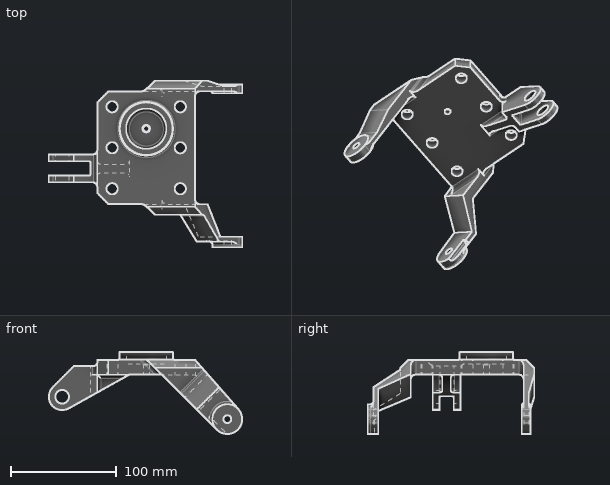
import cadquery as cq
import math


PLATE_HALF_X = 46.2
PLATE_HALF_Y = 53.2
PLATE_THICK = 14.0
PLATE_CORNER = 10.4
BOLT_DIA = 10.4
BOLT_X = 32.2
BOLT_Y = 38.7
PLATE_FILLET = 4.57

CUP_Y = 18.0
CUP_DIA = 50.8
CUP_HEIGHT = 7.62
CUP_EDGE = 0.6
CUP_BASE_FILLET = 1.7
CUP_BORE_DIA = 38.1
CUP_BORE_DEPTH = 11.43
CUP_BORE_FILLET = 3.0
DRAIN_DIA = 5.61
DRAIN_MOUTH_DIA = 7.2

ARM_THICK = 10.2
ARM_BEVEL = 7.6
ARM_END_X = 76.6
ARM_END_Z = -55.97
ARM_END_RADIUS = 14.1
ARM_HOLE_DIA = 7.2
ARM_SLOPE = math.radians(45)
LUG_THICK = 4.8
FRONT_LUG_Y = -83.9
FRONT_END_Y = -94.02
REAR_PAD = 1.85
REAR_PAD_FILLET = 1.7
FRONT_PAD_FILLET = 3.05
FRONT_BEND_FILLET = 2.54

REAR_TAPER_START = 50.1
REAR_TAPER_END = 74.7
FRONT_OUTER_BEND = (45.0, 66.9)
FRONT_INNER_BEND = (50.5, 68.8)

RELIEF_BEFORE_HOLE = 14.4
RELIEF_BELOW_HOLE = 10.0
RELIEF_DEPTH = 4.0
RELIEF_FILLET = 1.5

CLEVIS_Y = -19.5
CLEVIS_WIDTH = 26.4
CLEVIS_GAP = 13.2
CLEVIS_TOP_Z = -5.7
EAR_X = -79.34
EAR_Z = -34.8
EAR_RADIUS = 12.7
EAR_HOLE_DIA = 12.7
SLOT_END_X = -52.8
SLOT_FILLET = 1.0
FLARE_TOP = 3.7
FLARE_SIDE = 4.6
WEB_END_X = -16.0
WEB_WIDTH = 8.0
WEB_FILLET = 3.2

ARM_OUTER_Y = PLATE_HALF_Y + ARM_THICK
ARM_LOW_X = ARM_END_X + ARM_END_Z - 2 * ARM_END_RADIUS * math.sin(ARM_SLOPE)
ARM_REACH = 150.0
WIDE = 300.0


def tangent_point(px, pz, cx, cz, radius, side):
    """Point where a line from (px, pz) touches a circle; side is +1 or -1."""
    dist = math.hypot(px - cx, pz - cz)
    angle = math.atan2(pz - cz, px - cx) + side * math.acos(radius / dist)
    return cx + radius * math.cos(angle), cz + radius * math.sin(angle)


def concave_arc(outline, start, end, centre):
    """Add a quarter arc from start to end around centre to an outline."""
    mid_x = (start[0] + end[0]) / 2 - centre[0]
    mid_y = (start[1] + end[1]) / 2 - centre[1]
    mid = (centre[0] + mid_x * math.sqrt(2), centre[1] + mid_y * math.sqrt(2))
    return outline.threePointArc(mid, end)


def cylinder_y(x, z, dia):
    """Cylinder along Y through the whole part."""
    return cq.Workplane("XZ").center(x, z).circle(dia / 2).extrude(WIDE / 2, both=True)


def make_plate():
    plate = (
        cq.Workplane("XY")
        .box(2 * PLATE_HALF_X, 2 * PLATE_HALF_Y, PLATE_THICK)
        .translate((0, 0, -PLATE_THICK / 2))
    )
    return plate.edges("<X and |Z").chamfer(PLATE_CORNER)


def arm_side_prism():
    """Side outline of both arms, extruded across the whole part."""
    upper = tangent_point(PLATE_HALF_X, 0, ARM_END_X, ARM_END_Z, ARM_END_RADIUS, -1)
    diagonal = ARM_END_RADIUS * math.sin(ARM_SLOPE)
    lower = (ARM_END_X - diagonal, ARM_END_Z - diagonal)
    tip = (ARM_END_X + diagonal, ARM_END_Z - diagonal)
    outline = (
        cq.Workplane("XZ")
        .moveTo(ARM_LOW_X, 0)
        .lineTo(PLATE_HALF_X, 0)
        .lineTo(*upper)
        .threePointArc(tip, lower)
        .close()
    )
    return outline.extrude(WIDE / 2, both=True)


def slope_plane(origin):
    """Plane with x down the arm slope, y along Y, and its normal square to the slope."""
    direction = (math.cos(ARM_SLOPE), 0, -math.sin(ARM_SLOPE))
    normal = (math.sin(ARM_SLOPE), 0, math.cos(ARM_SLOPE))
    return cq.Plane(origin=origin, xDir=direction, normal=normal)


def along_arm(points):
    """Outline of (distance down the slope, Y) points, extruded square to the slope."""
    plane = slope_plane((0, 0, 0))
    return cq.Workplane(plane).polyline(points).close().extrude(WIDE / 2, both=True)


def bevel_wedge(side):
    """Wedge that bevels the top outer edge of the arm at +Y or -Y."""
    overlap = 2.0
    outer = ARM_OUTER_Y + overlap
    size = ARM_BEVEL + 2 * overlap
    points = [
        (side * outer, overlap - size),
        (side * outer, overlap),
        (side * (outer - size), overlap),
    ]
    return cq.Workplane("YZ").polyline(points).close().extrude(WIDE / 2, both=True)


def round_pad(face_y, end_y, fillet):
    """Round pad at the arm end, rising from face_y to end_y with a concave base fillet."""
    out = math.copysign(1, end_y - face_y)
    shift = fillet * (1 - math.sqrt(0.5))
    profile = (
        cq.Workplane("XY")
        .moveTo(0, face_y - out)
        .lineTo(ARM_END_RADIUS + fillet, face_y - out)
        .lineTo(ARM_END_RADIUS + fillet, face_y)
        .threePointArc(
            (ARM_END_RADIUS + shift, face_y + out * shift),
            (ARM_END_RADIUS, face_y + out * fillet),
        )
        .lineTo(ARM_END_RADIUS, end_y)
        .lineTo(0, end_y)
        .close()
    )
    return profile.revolve(360, (0, 0, 0), (0, 1, 0)).translate((ARM_END_X, 0, ARM_END_Z))


def make_rear_arm():
    lug_y = PLATE_HALF_Y + LUG_THICK
    arm = along_arm([
        (-ARM_REACH, PLATE_HALF_Y),
        (-ARM_REACH, ARM_OUTER_Y),
        (REAR_TAPER_START, ARM_OUTER_Y),
        (REAR_TAPER_END, lug_y),
        (ARM_REACH, lug_y),
        (ARM_REACH, PLATE_HALF_Y),
    ])
    arm = arm.union(round_pad(lug_y, lug_y + REAR_PAD, REAR_PAD_FILLET))
    arm = arm.union(round_pad(PLATE_HALF_Y, PLATE_HALF_Y - REAR_PAD, REAR_PAD_FILLET))
    return arm.intersect(arm_side_prism())


def make_lug_relief():
    """Step cut into the inner lower edge of the front lug, parallel to the arm slope."""
    floor_y = FRONT_LUG_Y - RELIEF_DEPTH
    length = 4 * ARM_END_RADIUS
    width = 2 * RELIEF_DEPTH
    plane = slope_plane((ARM_END_X, floor_y, ARM_END_Z))
    return (
        cq.Workplane(plane)
        .workplane(offset=-RELIEF_BELOW_HOLE)
        .center(length / 2 - RELIEF_BEFORE_HOLE, width / 2)
        .rect(length, width)
        .extrude(-ARM_END_RADIUS)
        .faces("<Y")
        .edges()
        .fillet(RELIEF_FILLET)
    )


def make_front_arm():
    lug_outer_y = FRONT_LUG_Y - LUG_THICK
    arm = along_arm([
        (-ARM_REACH, -PLATE_HALF_Y),
        (FRONT_INNER_BEND[0], -PLATE_HALF_Y),
        (FRONT_INNER_BEND[1], FRONT_LUG_Y),
        (ARM_REACH, FRONT_LUG_Y),
        (ARM_REACH, lug_outer_y),
        (FRONT_OUTER_BEND[1], lug_outer_y),
        (FRONT_OUTER_BEND[0], -ARM_OUTER_Y),
        (-ARM_REACH, -ARM_OUTER_Y),
    ])
    bend_at = (
        FRONT_OUTER_BEND[0] * math.cos(ARM_SLOPE),
        -ARM_OUTER_Y,
        -FRONT_OUTER_BEND[0] * math.sin(ARM_SLOPE),
    )
    arm = arm.edges(cq.selectors.NearestToPointSelector(bend_at)).fillet(FRONT_BEND_FILLET)
    arm = arm.union(round_pad(lug_outer_y, FRONT_END_Y, FRONT_PAD_FILLET))
    return arm.intersect(arm_side_prism()).cut(make_lug_relief())


def make_arm_roots():
    """Fillets in the inside corners where both arms leave the plate."""
    face = PLATE_HALF_Y
    inner = face - PLATE_FILLET
    tall = PLATE_THICK + PLATE_FILLET
    under = cq.Workplane("YZ").moveTo(face, 0).lineTo(face, -tall)
    under = concave_arc(under, (face, -tall), (inner, -PLATE_THICK), (inner, -tall))
    under = under.lineTo(inner, 0).close().extrude(WIDE / 2, both=True)

    long = PLATE_HALF_X + PLATE_FILLET
    beside = cq.Workplane("XY").moveTo(0, face).lineTo(long, face)
    beside = concave_arc(beside, (long, face), (PLATE_HALF_X, inner), (long, inner))
    beside = beside.lineTo(0, inner).close().extrude(WIDE / 2, both=True)
    inside = under.intersect(beside).intersect(arm_side_prism())

    outward = cq.Plane(
        origin=(ARM_LOW_X, 0, 0),
        xDir=(-math.sin(ARM_SLOPE), 0, -math.cos(ARM_SLOPE)),
        normal=(-math.cos(ARM_SLOPE), 0, math.sin(ARM_SLOPE)),
    )
    outer = face + PLATE_FILLET
    buried = -1.0
    outside = cq.Workplane(outward).moveTo(buried, face).lineTo(PLATE_FILLET, face)
    outside = concave_arc(outside, (PLATE_FILLET, face), (0, outer), (PLATE_FILLET, outer))
    outside = outside.lineTo(buried, outer).close().extrude(WIDE / 2, both=True)
    slab = cq.Workplane("XY").rect(WIDE, WIDE).extrude(-PLATE_THICK)
    outside = outside.intersect(slab)

    roots = inside.union(outside)
    return roots.union(roots.mirror("XZ"))


def clevis_side_prism():
    """Side outline of the clevis and its web, extruded across the whole part."""
    diagonal = EAR_RADIUS * math.sqrt(0.5)
    upper = (EAR_X - diagonal, EAR_Z + diagonal)
    lower = tangent_point(WEB_END_X, -PLATE_THICK, EAR_X, EAR_Z, EAR_RADIUS, -1)
    outline = (
        cq.Workplane("XZ")
        .moveTo(*upper)
        .lineTo(upper[0] + CLEVIS_TOP_Z - upper[1], CLEVIS_TOP_Z)
        .lineTo(WEB_END_X, CLEVIS_TOP_Z)
        .lineTo(WEB_END_X, -PLATE_THICK)
        .lineTo(*lower)
        .threePointArc((EAR_X - EAR_RADIUS, EAR_Z), upper)
        .close()
    )
    return outline.extrude(WIDE / 2, both=True)


def make_clevis_flare():
    """Flare where the clevis meets the plate edge: rounded on top and at both sides."""
    edge = -PLATE_HALF_X
    half = CLEVIS_WIDTH / 2
    side = cq.Workplane("XZ").moveTo(edge, -PLATE_THICK)
    side = side.lineTo(edge - FLARE_SIDE, -PLATE_THICK)
    side = side.lineTo(edge - FLARE_SIDE, CLEVIS_TOP_Z)
    side = side.lineTo(edge - FLARE_TOP, CLEVIS_TOP_Z)
    side = concave_arc(
        side,
        (edge - FLARE_TOP, CLEVIS_TOP_Z),
        (edge, CLEVIS_TOP_Z + FLARE_TOP),
        (edge - FLARE_TOP, CLEVIS_TOP_Z + FLARE_TOP),
    )
    side = side.close().extrude(WIDE / 2, both=True)

    wide = half + FLARE_SIDE
    plan = cq.Workplane("XY").moveTo(edge, -wide)
    plan = concave_arc(
        plan, (edge, -wide), (edge - FLARE_SIDE, -half), (edge - FLARE_SIDE, -wide)
    )
    plan = plan.lineTo(edge - FLARE_SIDE, half)
    plan = concave_arc(
        plan, (edge - FLARE_SIDE, half), (edge, wide), (edge - FLARE_SIDE, wide)
    )
    plan = plan.close().extrude(WIDE / 2, both=True)
    return side.intersect(plan.translate((0, CLEVIS_Y, 0)))


def make_clevis_web():
    """Web under the plate, narrower than the clevis, with concave fillets along its root."""
    thin = WEB_WIDTH / 2
    root = thin + WEB_FILLET
    edge = -PLATE_HALF_X

    behind_ears = cq.Workplane("XY").moveTo(edge, -root)
    behind_ears = concave_arc(
        behind_ears, (edge, -root), (edge + WEB_FILLET, -thin), (edge + WEB_FILLET, -root)
    )
    behind_ears = behind_ears.lineTo(WEB_END_X, -thin).lineTo(WEB_END_X, thin)
    behind_ears = behind_ears.lineTo(edge + WEB_FILLET, thin)
    behind_ears = concave_arc(
        behind_ears, (edge + WEB_FILLET, thin), (edge, root), (edge + WEB_FILLET, root)
    )
    behind_ears = behind_ears.close().extrude(-WIDE / 2)

    top = -PLATE_THICK
    under_plate = cq.Workplane("YZ").moveTo(-root, top)
    under_plate = concave_arc(
        under_plate, (-root, top), (-thin, top - WEB_FILLET), (-root, top - WEB_FILLET)
    )
    under_plate = under_plate.lineTo(thin, top - WEB_FILLET)
    under_plate = concave_arc(
        under_plate, (thin, top - WEB_FILLET), (root, top), (root, top - WEB_FILLET)
    )
    under_plate = under_plate.close().extrude(WEB_END_X - edge).translate((edge, 0, 0))
    return behind_ears.union(under_plate).translate((0, CLEVIS_Y, 0))


def make_clevis():
    ears_length = WIDE / 2
    ears = (
        cq.Workplane("XY")
        .box(ears_length, CLEVIS_WIDTH, WIDE)
        .translate((-PLATE_HALF_X - ears_length / 2, CLEVIS_Y, 0))
    )
    slot = (
        cq.Workplane("XY")
        .box(ears_length, CLEVIS_GAP, WIDE)
        .edges(">X and |Z")
        .fillet(SLOT_FILLET)
        .translate((SLOT_END_X - ears_length / 2, CLEVIS_Y, 0))
    )
    clevis = ears.cut(slot).union(make_clevis_web()).intersect(clevis_side_prism())
    return clevis.cut(cylinder_y(EAR_X, EAR_Z, EAR_HOLE_DIA))


def make_cup():
    """Round cup wall with a chamfered rim and a concave fillet at its base."""
    radius = CUP_DIA / 2
    foot = radius + CUP_BASE_FILLET
    profile = cq.Workplane("XZ").lineTo(foot, 0)
    profile = concave_arc(
        profile, (foot, 0), (radius, CUP_BASE_FILLET), (foot, CUP_BASE_FILLET)
    )
    profile = (
        profile.lineTo(radius, CUP_HEIGHT - CUP_EDGE)
        .lineTo(radius - CUP_EDGE, CUP_HEIGHT)
        .lineTo(0, CUP_HEIGHT)
        .close()
    )
    return profile.revolve(360, (0, 0, 0), (0, 1, 0)).translate((0, CUP_Y, 0))


def make_cup_bore():
    """Blind bore with a rounded floor corner, and a chamfered hole through the plate."""
    floor_z = CUP_HEIGHT - CUP_BORE_DEPTH
    bore = (
        cq.Workplane("XY")
        .workplane(offset=floor_z)
        .circle(CUP_BORE_DIA / 2)
        .extrude(CUP_BORE_DEPTH)
        .faces("<Z")
        .edges()
        .fillet(CUP_BORE_FILLET)
    )
    drain = (
        cq.Workplane("XY")
        .workplane(offset=-PLATE_THICK)
        .circle(DRAIN_DIA / 2)
        .extrude(PLATE_THICK + floor_z)
    )
    mouth_depth = (DRAIN_MOUTH_DIA - DRAIN_DIA) / 2
    mouth = cq.Workplane("XY").add(
        cq.Solid.makeCone(
            DRAIN_DIA / 2, DRAIN_MOUTH_DIA / 2, mouth_depth, cq.Vector(0, 0, floor_z - mouth_depth)
        )
    )
    return bore.union(drain).union(mouth).translate((0, CUP_Y, 0))


def cut_bolt_holes(body):
    spots = [(x, y) for x in (-BOLT_X, BOLT_X) for y in (-BOLT_Y, 0, BOLT_Y)]
    holes = cq.Workplane("XY").pushPoints(spots).circle(BOLT_DIA / 2).extrude(-PLATE_THICK)
    return body.cut(holes)


body = make_plate().union(make_rear_arm()).union(make_front_arm())
body = body.union(make_arm_roots())
body = body.cut(bevel_wedge(1)).cut(bevel_wedge(-1))
body = body.union(make_clevis_flare()).union(make_clevis())
body = body.union(make_cup()).cut(make_cup_bore())
body = cut_bolt_holes(body)
result = body.cut(cylinder_y(ARM_END_X, ARM_END_Z, ARM_HOLE_DIA))